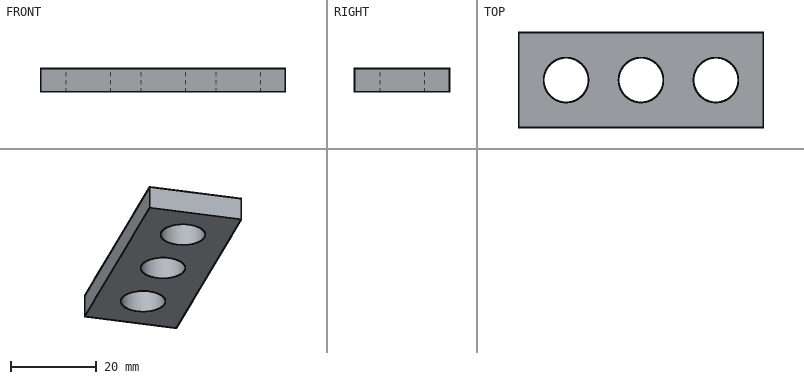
import cadquery as cq

length = 57.15
width = 22.25
thickness = 5.5

hole_diameter = 10.4
hole_pitch = 17.5
hole_count = 3

plate = cq.Workplane("XY").box(length, width, thickness)

result = (
    plate.faces(">Z")
    .workplane()
    .rarray(hole_pitch, 0.6, hole_count, 1)
    .hole(hole_diameter)
)